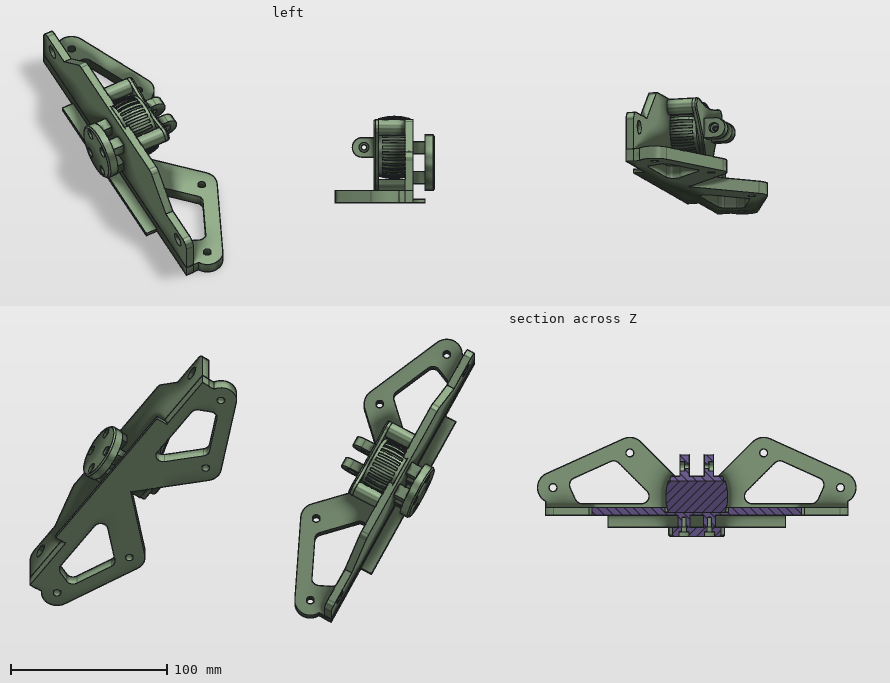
import cadquery as cq
import math


OVERALL_LENGTH = 204.0
BASE_THICKNESS = 8.0
LIP_LENGTH = 193.8
LOBE_RADIUS = 10.0
OUTER_LOBE_X = OVERALL_LENGTH / 2 - LOBE_RADIUS
OUTER_LOBE_Y = 17.7
INNER_LOBE_X = 42.8
INNER_LOBE_Y = 40.0
WING_HOLE_DIAMETER = 4.9
WINDOW_FRONT_Y = 7.5
WINDOW_INNER_RIM = 19.5
WINDOW_CORNER_RADIUS = 4.7
LEDGE_LENGTH = 113.8
LEDGE_HEIGHT = 2.5
LEDGE_DEPTH = 7.8

PLATE_THICKNESS = 5.0
PLATE_LENGTH = 193.4
PLATE_TOP_LENGTH = 96.3
PLATE_TOP_Z = 53.5
SHOULDER_Z = 32.6
PLATE_CORNER_RADIUS = 5.0
END_HOLE_DIAMETER = 8.5
END_HOLE_SPACING = 170.0
END_HOLE_Z = 24.0

WHEEL_Z = 35.5
WHEEL_RADIUS = 20.0
WHEEL_END_RADIUS = 18.4
WHEEL_FRONT_Y = 2.0
WHEEL_BACK_Y = 22.0
WHEEL_HALF_WIDTH = (WHEEL_BACK_Y - WHEEL_FRONT_Y) / 2
WHEEL_RECESS_RADIUS = 20.2
GROOVE_COUNT = 32
GROOVE_WIDTH = 1.8
GROOVE_LENGTH = 15.3
GROOVE_DEPTH = 0.92

PILLAR_COUNT = 3
PILLAR_PITCH = 360 / PILLAR_COUNT
FIRST_PILLAR_ANGLE = 30
PILLAR_DIAMETER = 10.0
PILLAR_RADIUS = PILLAR_DIAMETER / 2
PILLAR_CIRCLE_RADIUS = 25.5
PILLAR_LENGTH = WHEEL_BACK_Y - PLATE_THICKNESS
COVER_THICKNESS = 3.0
COVER_BACK_Y = WHEEL_BACK_Y + COVER_THICKNESS
COVER_WAIST_RADIUS = 81.5
COVER_CHAMFER_DEPTH = 1.0
COVER_CHAMFER_INSET = 0.5

LUG_WIDTH = 6.1
LUG_SPACING = 15.5
LUG_RADIUS = 6.3
LUG_TIP_Y = 39.0
LUG_HOLE_Y = 31.5
LUG_HOLE_DIAMETER = 3.3
LUG_COUNTERBORE_DIAMETER = 6.3
LUG_COUNTERBORE_DEPTH = 3.0

POST_LENGTH = 7.5
POST_SIZE = 8.0
POST_SPACING_X = 16.3
POST_SPACING_Z = 19.2
PILOT_DIAMETER = 2.7
PILOT_DEPTH = 6.1
PILOT_TIP_ANGLE = 118
DISC_Z = 25.7
DISC_DIAMETER = 36.0
DISC_THICKNESS = 6.1
DISC_FRONT_Y = -POST_LENGTH - DISC_THICKNESS
DISC_CHAMFER = 1.0
SCREW_HOLE_DIAMETER = 3.5
SCREW_HEAD_DIAMETER = 6.3
SCREW_HEAD_DEPTH = 3.0


def facing_back(y, z=0):
    """Sketch plane at depth y that extrudes toward +Y; sketch coordinates are (-X, Z)."""
    return cq.Workplane(cq.Plane((0, y, z), xDir=(-1, 0, 0), normal=(0, 1, 0)))


def block(length, depth, height, front_y, bottom_z=0):
    """Box centred on X, growing up and back from its front bottom edge."""
    box = cq.Workplane().box(length, depth, height, centered=(True, False, False))
    return box.translate((0, front_y, bottom_z))


def polar(angle, radius, centre=(0, 0)):
    turn = math.radians(angle)
    return centre[0] + radius * math.cos(turn), centre[1] + radius * math.sin(turn)



EDGE_ANGLE = math.degrees(math.atan2(OUTER_LOBE_Y - INNER_LOBE_Y, OUTER_LOBE_X - INNER_LOBE_X))
EDGE_NORMAL = EDGE_ANGLE + 90
FLANK_NORMAL = 135
INNER_LOBE = (INNER_LOBE_X, INNER_LOBE_Y)
OUTER_LOBE = (OUTER_LOBE_X, OUTER_LOBE_Y)


def wing_window():
    """Four-sided opening: its back edge lies on the line through the two lobe centres."""
    along_x, along_y = polar(EDGE_ANGLE, 1)
    flank_gap = WINDOW_INNER_RIM - LOBE_RADIUS
    inner_reach = flank_gap / math.cos(math.radians(FLANK_NORMAL - 180 - EDGE_ANGLE))
    back_inner = polar(EDGE_ANGLE, inner_reach, INNER_LOBE)
    back_outer = polar(EDGE_ANGLE, -LOBE_RADIUS, OUTER_LOBE)
    outer_drop = back_outer[1] - WINDOW_FRONT_Y
    front_outer = (back_outer[0] + outer_drop * along_y / along_x, WINDOW_FRONT_Y)
    front_inner = (back_inner[0] - (back_inner[1] - WINDOW_FRONT_Y), WINDOW_FRONT_Y)
    outline = cq.Workplane().polyline([back_inner, back_outer, front_outer, front_inner]).close()
    return outline.extrude(BASE_THICKNESS).edges("|Z").fillet(WINDOW_CORNER_RADIUS)


def right_wing():
    end_x = PLATE_LENGTH / 2
    end_y = OUTER_LOBE_Y - math.sqrt(LOBE_RADIUS**2 - (end_x - OUTER_LOBE_X) ** 2)
    flank_start = polar(FLANK_NORMAL, LOBE_RADIUS, INNER_LOBE)
    plate = (
        cq.Workplane()
        .lineTo(end_x, 0)
        .lineTo(end_x, end_y)
        .threePointArc(polar(0, LOBE_RADIUS, OUTER_LOBE), polar(EDGE_NORMAL, LOBE_RADIUS, OUTER_LOBE))
        .lineTo(*polar(EDGE_NORMAL, LOBE_RADIUS, INNER_LOBE))
        .threePointArc(polar(90, LOBE_RADIUS, INNER_LOBE), flank_start)
        .lineTo(0, flank_start[1] - flank_start[0])
        .close()
        .extrude(BASE_THICKNESS)
    )
    lobe_centres = cq.Workplane().pushPoints([INNER_LOBE, OUTER_LOBE])
    holes = lobe_centres.circle(WING_HOLE_DIAMETER / 2).extrude(BASE_THICKNESS)
    return plate.cut(wing_window()).cut(holes)


def make_base():
    wing = right_wing()
    lip = block(LIP_LENGTH, PLATE_THICKNESS, BASE_THICKNESS, 0)
    ledge = block(LEDGE_LENGTH, LEDGE_DEPTH, LEDGE_HEIGHT, -LEDGE_DEPTH)
    return wing.union(wing.mirror("YZ")).union(lip).union(ledge)



def upright_plate():
    end = PLATE_LENGTH / 2
    top = PLATE_TOP_LENGTH / 2
    shoulder = top + PLATE_TOP_Z - SHOULDER_Z
    right_side = [(end, BASE_THICKNESS), (end, SHOULDER_Z), (shoulder, SHOULDER_Z), (top, PLATE_TOP_Z)]
    left_side = [(-x, z) for x, z in reversed(right_side)]
    plate = facing_back(0).polyline(right_side + left_side).close().extrude(PLATE_THICKNESS)
    for x, z in ((end, SHOULDER_Z), (top, PLATE_TOP_Z)):
        for side in (1, -1):
            corner = cq.NearestToPointSelector((side * x, PLATE_THICKNESS / 2, z))
            plate = plate.edges(corner).fillet(PLATE_CORNER_RADIUS)
    hole_pair = facing_back(0, END_HOLE_Z).rarray(END_HOLE_SPACING, 2, 2, 1)
    return plate.cut(hole_pair.circle(END_HOLE_DIAMETER / 2).extrude(PLATE_THICKNESS))


def pillars():
    """Three round pillars about the wheel; the lowest one widens straight down to the base."""
    ring = facing_back(PLATE_THICKNESS, WHEEL_Z)
    ring = ring.polarArray(PILLAR_CIRCLE_RADIUS, FIRST_PILLAR_ANGLE, 360, PILLAR_COUNT)
    foot_height = WHEEL_Z - PILLAR_CIRCLE_RADIUS
    foot = block(PILLAR_DIAMETER, PILLAR_LENGTH, foot_height, PLATE_THICKNESS)
    base_space = block(OVERALL_LENGTH, WHEEL_BACK_Y, BASE_THICKNESS, 0)
    return ring.circle(PILLAR_RADIUS).extrude(PILLAR_LENGTH).union(foot).cut(base_space)


def screw_pattern(y):
    return facing_back(y, DISC_Z).rarray(POST_SPACING_X, POST_SPACING_Z, 2, 2)


def posts():
    """Square posts, each with a blind pilot hole that ends in a drill tip."""
    radius = PILOT_DIAMETER / 2
    tip = radius / math.tan(math.radians(PILOT_TIP_ANGLE / 2))
    profile = [(0, 0), (radius, 0), (radius, PILOT_DEPTH), (0, PILOT_DEPTH + tip)]
    pilot = cq.Workplane().polyline(profile).close().revolve(360, (0, 0), (0, 1)).val()
    solid = screw_pattern(-POST_LENGTH).rect(POST_SIZE, POST_SIZE).extrude(POST_LENGTH)
    for place in screw_pattern(-POST_LENGTH).vals():
        solid = solid.cut(cq.Workplane(pilot.translate(place)))
    return solid


def make_upright():
    recess_depth = PLATE_THICKNESS - WHEEL_FRONT_Y
    recess = facing_back(WHEEL_FRONT_Y, WHEEL_Z).circle(WHEEL_RECESS_RADIUS).extrude(recess_depth)
    return upright_plate().cut(recess).union(pillars()).union(posts())



def barrel(inset):
    """Crowned drum about the Y axis, centred on the origin and smaller in radius by inset."""
    end_radius = WHEEL_END_RADIUS - inset
    profile = (
        cq.Workplane()
        .moveTo(0, -WHEEL_HALF_WIDTH)
        .lineTo(end_radius, -WHEEL_HALF_WIDTH)
        .threePointArc((WHEEL_RADIUS - inset, 0), (end_radius, WHEEL_HALF_WIDTH))
        .lineTo(0, WHEEL_HALF_WIDTH)
        .close()
    )
    return profile.revolve(360, (0, 0), (0, 1))


def make_wheel():
    """Crowned wheel with closed grooves whose floors follow the crown."""
    drum = barrel(0)
    spoke = block(GROOVE_WIDTH, GROOVE_LENGTH, WHEEL_RADIUS, -GROOVE_LENGTH / 2)
    groove = spoke.cut(barrel(GROOVE_DEPTH))
    for index in range(GROOVE_COUNT):
        drum = drum.cut(groove.rotate((0, 0, 0), (0, 1, 0), index * 360 / GROOVE_COUNT))
    return drum.translate((0, WHEEL_FRONT_Y + WHEEL_HALF_WIDTH, WHEEL_Z))



def cover_plate():
    """Lobes in line with the pillars, joined by hollow arcs tangent to them, cut flat on the base."""
    centre_gap = COVER_WAIST_RADIUS + PILLAR_RADIUS
    half_pitch = PILLAR_PITCH / 2
    half_chord = PILLAR_CIRCLE_RADIUS * math.sin(math.radians(half_pitch))
    waist_lean = math.degrees(math.asin(half_chord / centre_gap))
    waist_centre = PILLAR_CIRCLE_RADIUS * math.cos(math.radians(half_pitch))
    waist_centre += centre_gap * math.cos(math.radians(waist_lean))
    lobe_sweep = half_pitch + waist_lean

    first_lobe = polar(FIRST_PILLAR_ANGLE, PILLAR_CIRCLE_RADIUS)
    start = polar(FIRST_PILLAR_ANGLE - lobe_sweep, PILLAR_RADIUS, first_lobe)
    outline = facing_back(WHEEL_BACK_Y, WHEEL_Z).moveTo(*start)
    for index in range(PILLAR_COUNT):
        angle = FIRST_PILLAR_ANGLE + index * PILLAR_PITCH
        lobe = polar(angle, PILLAR_CIRCLE_RADIUS)
        next_lobe = polar(angle + PILLAR_PITCH, PILLAR_CIRCLE_RADIUS)
        lobe_end = polar(angle + lobe_sweep, PILLAR_RADIUS, lobe)
        waist_middle = polar(angle + half_pitch, waist_centre - COVER_WAIST_RADIUS)
        waist_end = polar(angle + PILLAR_PITCH - lobe_sweep, PILLAR_RADIUS, next_lobe)
        outline = outline.threePointArc(polar(angle, PILLAR_RADIUS, lobe), lobe_end)
        outline = outline.threePointArc(waist_middle, waist_end)
    plate = outline.close().extrude(COVER_THICKNESS)
    plate = plate.faces(">Y").chamfer(COVER_CHAMFER_DEPTH, COVER_CHAMFER_INSET)
    return plate.cut(block(OVERALL_LENGTH, COVER_BACK_Y, BASE_THICKNESS, 0))


def right_lug():
    """Round-ended lug with a cross hole, counterbored on its outer face."""
    inner_x = (LUG_SPACING - LUG_WIDTH) / 2
    sketch = cq.Workplane("YZ", origin=(inner_x, 0, WHEEL_Z))
    arc_y = LUG_TIP_Y - LUG_RADIUS
    lug = (
        sketch.moveTo(COVER_BACK_Y, -LUG_RADIUS)
        .lineTo(arc_y, -LUG_RADIUS)
        .threePointArc((LUG_TIP_Y, 0), (arc_y, LUG_RADIUS))
        .lineTo(COVER_BACK_Y, LUG_RADIUS)
        .close()
        .extrude(LUG_WIDTH)
    )
    hole = sketch.center(LUG_HOLE_Y, 0).circle(LUG_HOLE_DIAMETER / 2).extrude(LUG_WIDTH)
    outer_face = cq.Workplane("YZ", origin=(inner_x + LUG_WIDTH, LUG_HOLE_Y, WHEEL_Z))
    counterbore = outer_face.circle(LUG_COUNTERBORE_DIAMETER / 2).extrude(-LUG_COUNTERBORE_DEPTH)
    return lug.cut(hole).cut(counterbore)


def make_cover():
    lug = right_lug()
    return cover_plate().union(lug).union(lug.mirror("YZ"))



def make_disc():
    disc = facing_back(DISC_FRONT_Y, DISC_Z).circle(DISC_DIAMETER / 2).extrude(DISC_THICKNESS)
    disc = disc.faces("<Y").chamfer(DISC_CHAMFER)
    screw_holes = screw_pattern(DISC_FRONT_Y).circle(SCREW_HOLE_DIAMETER / 2).extrude(DISC_THICKNESS)
    screw_heads = screw_pattern(DISC_FRONT_Y).circle(SCREW_HEAD_DIAMETER / 2).extrude(SCREW_HEAD_DEPTH)
    return disc.cut(screw_holes).cut(screw_heads)


base = make_base()
upright = make_upright()
wheel = make_wheel()
cover = make_cover()
disc = make_disc()

result = cq.Compound.makeCompound([base.val(), upright.val(), wheel.val(), cover.val(), disc.val()])